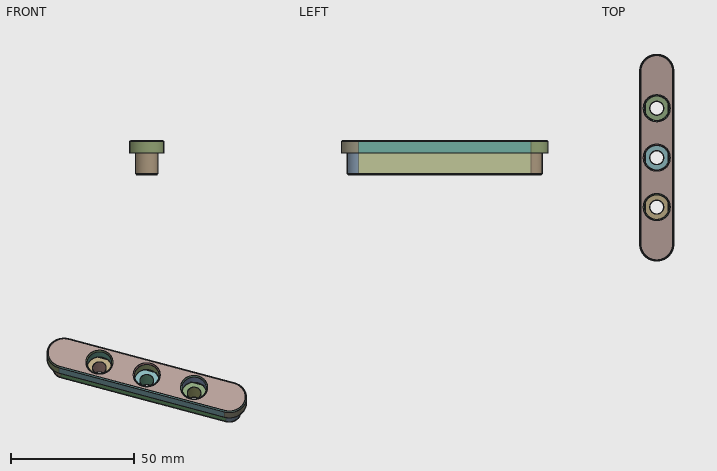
import cadquery as cq

length = 83.8
width = 13.9
height = 14.0

flange_height = 5.1
body_width = 9.1
body_length = length - (width - body_width)
body_height = height - flange_height
edge_chamfer = 0.5

hole_diameter = 5.5
counterbore_diameter = 10.0
counterbore_depth = 5.0
hole_pitch = 20.0
hole_count = 3


def rounded_bar(bar_length, bar_width, bar_height, base_z):
    """Bar along Y with full-round ends."""
    return (
        cq.Workplane("XY", origin=(0, 0, base_z))
        .slot2D(bar_length, bar_width, 90)
        .extrude(bar_height)
    )


def screw_hole_cutter(y):
    """Through hole, counterbore and chamfered rim at the given Y."""
    bore_radius = counterbore_diameter / 2
    rim_radius = bore_radius + edge_chamfer
    bore_floor = height - counterbore_depth
    half_section = [
        (0, 0),
        (hole_diameter / 2, 0),
        (hole_diameter / 2, bore_floor),
        (bore_radius, bore_floor),
        (bore_radius, height - edge_chamfer),
        (rim_radius, height),
        (0, height),
    ]
    profile = cq.Workplane("XZ", origin=(0, y, 0)).polyline(half_section).close()
    return profile.revolve(360, (0, 0), (0, 1))


body = rounded_bar(body_length, body_width, body_height, 0)
body = body.faces("<Z").chamfer(edge_chamfer)

flange = rounded_bar(length, width, flange_height, body_height)
flange = flange.faces(">Z").chamfer(edge_chamfer)

result = body.union(flange)
for index in range(hole_count):
    hole_y = (index - (hole_count - 1) / 2) * hole_pitch
    result = result.cut(screw_hole_cutter(hole_y))